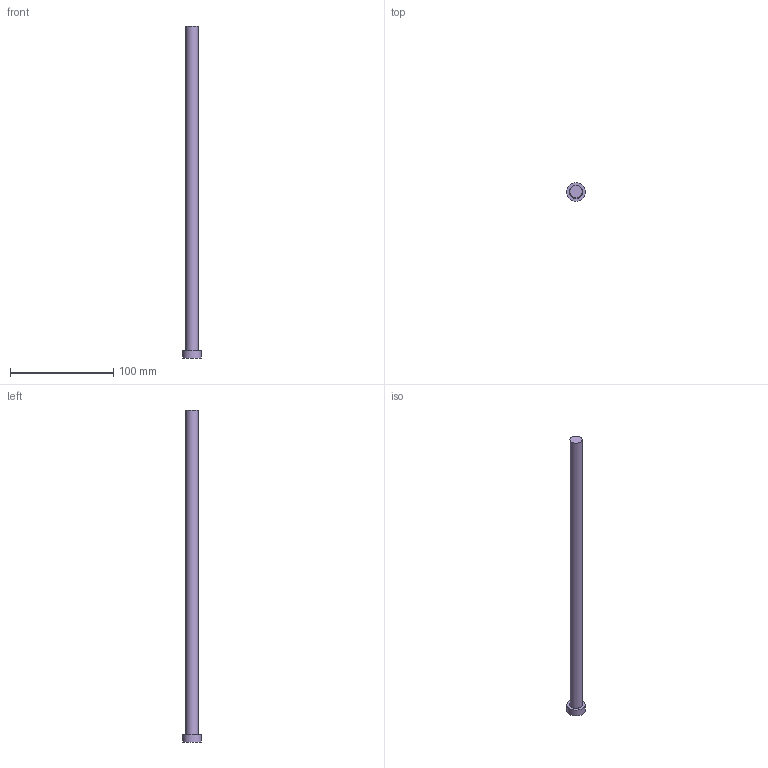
import cadquery as cq

head_diameter = 18.0
head_height = 7.0
shank_diameter = 12.0
overall_length = 322.0
root_fillet_radius = 0.2

shank_length = overall_length - head_height


def make_head():
    """Head disc standing on the XY plane."""
    return cq.Workplane("XY").circle(head_diameter / 2).extrude(head_height)


def add_shank(head):
    """Shank rising from the middle of the head's top face."""
    return head.faces(">Z").workplane().circle(shank_diameter / 2).extrude(shank_length)


def round_shank_root(pin):
    """Fillet the corner between the shank and the top face of the head."""
    shank_circles = pin.edges(cq.selectors.RadiusNthSelector(0))
    return shank_circles.edges("<Z").fillet(root_fillet_radius)


result = round_shank_root(add_shank(make_head()))